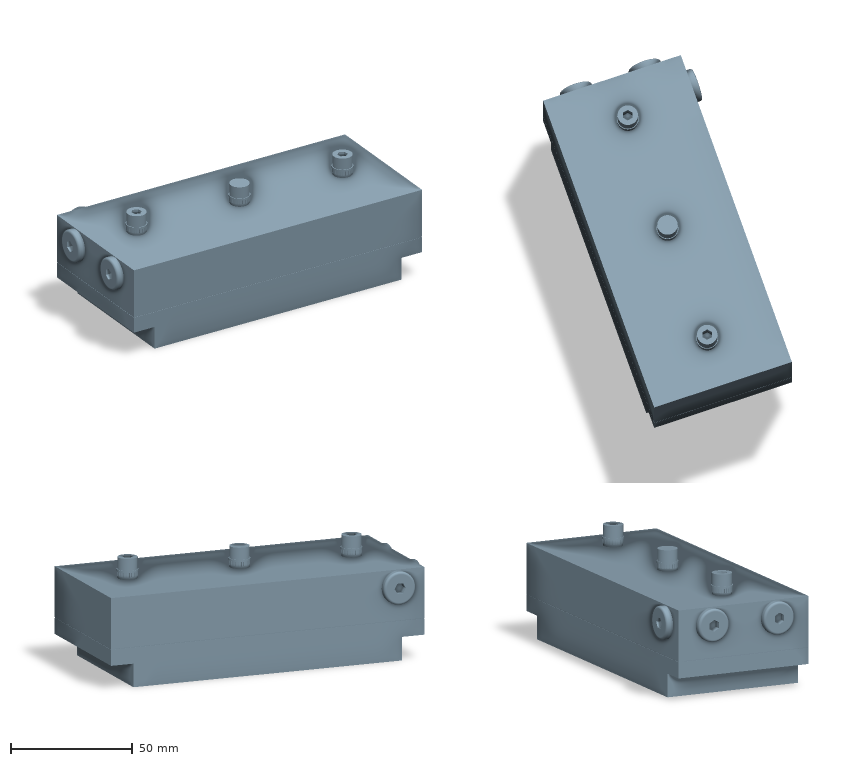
import cadquery as cq

width = 60.0
body_length = 140.0
base_height = 10.0
base_inset = 10.0
plate_height = 6.9
seam_height = 0.3
seam_depth = 0.1
cover_height = 14.7

seam_bottom = base_height + plate_height
seam_top = seam_bottom + seam_height
cover_bottom = seam_top + plate_height
body_top = cover_bottom + cover_height

plug_diameter = 14.0
plug_height = 3.0
plug_edge_radius = 1.0
plug_hex_flats = 4.3
plug_hex_depth = plug_height
plug_z = cover_bottom + cover_height / 2
front_plug_places = (width / 4, 3 * width / 4)
side_plug_y = 12.0

pin_diameter = 8.5
pin_height = 9.0
pin_spacing = 50.0
pin_neck_diameter = 8.2
pin_neck_height = 1.1
pin_tooth_diameter = 8.7
pin_tooth_height = 1.9
pin_ring_diameter = 9.0
pin_ring_height = 0.9
pin_groove_count = 24
pin_groove_width = 0.3
pin_hex_flats = 3.9
pin_hex_depth = 4.0
pin_hex_turn = 10

HEX_CORNER_RATIO = 2 / 3 ** 0.5


def slab(bottom, height, side_inset=0, end_inset=0):
    """Block centred on the body, inset from its sides and ends."""
    return (
        cq.Workplane("XY")
        .box(width - 2 * side_inset, body_length - 2 * end_inset, height, centered=False)
        .translate((side_inset, end_inset, bottom))
    )


def make_body():
    base = slab(0, base_height, end_inset=base_inset)
    lower_plate = slab(base_height, plate_height)
    seam_core = slab(seam_bottom, seam_height, seam_depth, seam_depth)
    upper_block = slab(seam_top, plate_height + cover_height)
    return base.union(lower_plate).union(seam_core).union(upper_block)


def make_plug():
    """Round-edged plug standing on the XY plane with a hexagon socket."""
    plug = (
        cq.Workplane("XY")
        .circle(plug_diameter / 2)
        .extrude(plug_height)
        .faces(">Z")
        .edges()
        .fillet(plug_edge_radius)
    )
    socket = (
        cq.Workplane("XY", origin=(0, 0, plug_height - plug_hex_depth))
        .polygon(6, plug_hex_flats * HEX_CORNER_RATIO)
        .extrude(plug_hex_depth)
    )
    return plug.cut(socket)


def make_pin(has_socket):
    """Pin standing on the XY plane: neck, grooved band, ring and plain head."""
    ring_top = pin_neck_height + pin_tooth_height + pin_ring_height
    sections = (
        (pin_neck_diameter, pin_neck_height),
        (pin_tooth_diameter, pin_tooth_height),
        (pin_ring_diameter, pin_ring_height),
        (pin_diameter, pin_height - ring_top),
    )
    pin = cq.Workplane("XY")
    for diameter, height in sections:
        pin = pin.circle(diameter / 2).extrude(height).faces(">Z").workplane()
    groove_depth = (pin_tooth_diameter - pin_neck_diameter) / 2
    grooves = (
        cq.Workplane("XY", origin=(0, 0, pin_neck_height))
        .polarArray(pin_tooth_diameter / 2, 0, 360, pin_groove_count)
        .rect(2 * groove_depth, pin_groove_width)
        .extrude(pin_tooth_height)
    )
    pin = pin.cut(grooves)
    if has_socket:
        socket = (
            cq.Workplane("XY", origin=(0, 0, pin_height - pin_hex_depth))
            .polygon(6, pin_hex_flats * HEX_CORNER_RATIO)
            .extrude(pin_hex_depth)
            .rotate((0, 0, 0), (0, 0, 1), pin_hex_turn)
        )
        pin = pin.cut(socket)
    return pin


result = make_body()

plug = make_plug().rotate((0, 0, 0), (0, 0, 1), 90)

front_plug = plug.rotate((0, 0, 0), (1, 0, 0), 90)
for plug_x in front_plug_places:
    result = result.union(front_plug.translate((plug_x, 0, plug_z)))

side_plug = plug.rotate((0, 0, 0), (0, 1, 0), -90)
result = result.union(side_plug.translate((0, side_plug_y, plug_z)))

for step in (-1, 0, 1):
    pin_y = body_length / 2 + step * pin_spacing
    pin = make_pin(has_socket=step != 0)
    result = result.union(pin.translate((width / 2, pin_y, body_top)))